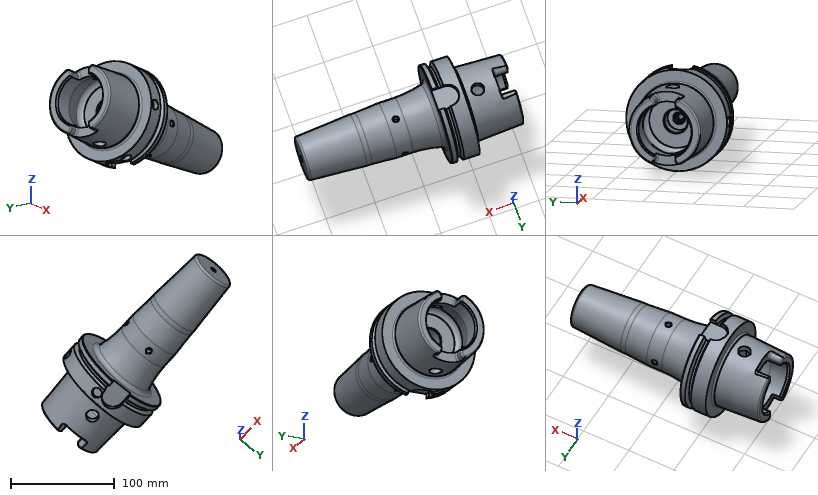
import cadquery as cq
import math

OVERALL_LENGTH = 215.0
TAPER_END_X = 47.3
RELIEF_END_X = 48.4
FLANGE_FRONT_X = 50.0
FLANGE_BACK_X = 78.5
NECK_END_X = 111.0
COLLAR_END_X = 127.7
BAND_START_X = 152.2
BAND_END_X = 157.4

TAPER_FRONT_RADIUS = 35.3
TAPER_BACK_RADIUS = 37.6
RELIEF_RADIUS = 37.5
FLANGE_RADIUS = 49.99
COLLAR_RADIUS = 28.0
BAND_RADIUS = 26.2
NOSE_RADIUS = 22.1

FRONT_EDGE_FILLET = 1.7
RELIEF_FILLET = FLANGE_FRONT_X - RELIEF_END_X
FLANGE_BACK_CHAMFER = 0.6
NECK_CURVE_RADIUS = 104.7
NECK_ROOT_FILLET = 5.4
NOSE_FILLET = 2.4

GROOVE_START_X = 66.2
GROOVE_FLOOR_START_X = 68.4
GROOVE_FLOOR_END_X = 71.0
GROOVE_END_X = 72.9
GROOVE_FLOOR_RADIUS = 45.5

MOUTH_RADIUS = 26.2
MOUTH_CHAMFER = 1.3
MOUTH_CHAMFER_LENGTH = 2.2
MOUTH_END_X = 20.5
POCKET_RADIUS = 31.4
POCKET_FLOOR_X = 47.3
POCKET_FLOOR_RADIUS = 25.0
TUBE_BORE_RADIUS = 11.5
TUBE_BORE_CHAMFER = 0.9
TUBE_BORE_END_X = 61.3
SCREW_RADIUS = 5.2
SCREW_BORE_CHAMFER = 0.9
SCREW_START_X = 68.8
SCREW_LENGTH = 17.2
COOLANT_RADIUS = 2.9
COOLANT_CHAMFER = 0.6

NOTCH_HALF_WIDTH = 10.0
NOTCH_STEP_HEIGHT = 32.0
NOTCH_CORNER_RADIUS = 4.5
NOTCH_FLOOR_FILLET = 1.7
UPPER_NOTCH_DEPTH = 15.0
LOWER_NOTCH_DEPTH = 9.9

CROSS_HOLE_X = 34.8
CROSS_HOLE_RADIUS = 6.2
SLOT_START_X = 54.6
SLOT_HALF_WIDTH = 11.0
SLOT_FLOOR_HEIGHT = 44.0
FLANGE_HOLE_RADIUS = 5.0
FLANGE_HOLE_DEPTH = 5.0
CHIP_HOLE_X = 57.0
BALANCE_HOLE_X = 59.0
BALANCE_HOLE_ANGLE = 72.5
SCREW_HOLE_X = 118.7
SCREW_HOLE_RADIUS = 2.5
SCREW_HOLE_CHAMFER = 0.6
SCREW_HOLE_DEPTH = 9.9
DRILL_POINT_ANGLE = 118.0
SCREW_HOLE_COUNT = 4

QUARTER_ARC = math.sqrt(0.5)


def revolve_about_axis(profile):
    """Turn a closed (x, radius) profile about the X axis."""
    return profile.close().revolve(360, (0, 0, 0), (1, 0, 0))


def neck_radius(x):
    """Radius of the concave neck, which meets the collar tangentially."""
    run = NECK_END_X - x
    return COLLAR_RADIUS + NECK_CURVE_RADIUS - math.sqrt(NECK_CURVE_RADIUS**2 - run**2)


def outer_body():
    """Turned outside of the holder, solid and with a sharp front edge."""
    fillet_center_radius = RELIEF_RADIUS + RELIEF_FILLET
    fillet_middle = (
        RELIEF_END_X + RELIEF_FILLET * QUARTER_ARC,
        fillet_center_radius - RELIEF_FILLET * QUARTER_ARC,
    )
    neck_middle_x = (FLANGE_BACK_X + NECK_END_X) / 2
    profile = (
        cq.Workplane("XZ")
        .moveTo(0, 0)
        .lineTo(0, TAPER_FRONT_RADIUS)
        .lineTo(TAPER_END_X, TAPER_BACK_RADIUS)
        .lineTo(TAPER_END_X, RELIEF_RADIUS)
        .lineTo(RELIEF_END_X, RELIEF_RADIUS)
        .threePointArc(fillet_middle, (FLANGE_FRONT_X, fillet_center_radius))
        .lineTo(FLANGE_FRONT_X, FLANGE_RADIUS)
        .lineTo(GROOVE_START_X, FLANGE_RADIUS)
        .lineTo(GROOVE_FLOOR_START_X, GROOVE_FLOOR_RADIUS)
        .lineTo(GROOVE_FLOOR_END_X, GROOVE_FLOOR_RADIUS)
        .lineTo(GROOVE_END_X, FLANGE_RADIUS)
        .lineTo(FLANGE_BACK_X - FLANGE_BACK_CHAMFER, FLANGE_RADIUS)
        .lineTo(FLANGE_BACK_X, FLANGE_RADIUS - FLANGE_BACK_CHAMFER)
        .lineTo(FLANGE_BACK_X, neck_radius(FLANGE_BACK_X))
        .threePointArc((neck_middle_x, neck_radius(neck_middle_x)), (NECK_END_X, COLLAR_RADIUS))
        .lineTo(COLLAR_END_X, COLLAR_RADIUS)
        .lineTo(BAND_START_X, BAND_RADIUS)
        .lineTo(BAND_END_X, BAND_RADIUS)
        .lineTo(OVERALL_LENGTH, NOSE_RADIUS)
        .lineTo(OVERALL_LENGTH, 0)
    )
    body = revolve_about_axis(profile)
    body = body.faces(">X").edges().fillet(NOSE_FILLET)
    reach = neck_radius(FLANGE_BACK_X) + NECK_ROOT_FILLET / 2
    root_region = cq.selectors.BoxSelector(
        (FLANGE_BACK_X - 0.2, -reach, -reach),
        (FLANGE_BACK_X + 0.2, reach, reach),
        boundingbox=True,
    )
    return body.edges(root_region).fillet(NECK_ROOT_FILLET)


def front_bore():
    """Plain bore through the drive end that opens the rim for the notches."""
    return cq.Workplane("YZ").circle(MOUTH_RADIUS).extrude(POCKET_FLOOR_X)


def clamping_pocket():
    """Undercut pocket with a rounded floor, opening at the drive end."""
    floor_fillet = POCKET_RADIUS - POCKET_FLOOR_RADIUS
    fillet_middle = (
        POCKET_FLOOR_X - floor_fillet * (1 - QUARTER_ARC),
        POCKET_FLOOR_RADIUS + floor_fillet * QUARTER_ARC,
    )
    profile = (
        cq.Workplane("XZ")
        .moveTo(0, 0)
        .lineTo(0, MOUTH_RADIUS + MOUTH_CHAMFER)
        .lineTo(MOUTH_CHAMFER_LENGTH, MOUTH_RADIUS)
        .lineTo(MOUTH_END_X, MOUTH_RADIUS)
        .lineTo(POCKET_FLOOR_X - floor_fillet, POCKET_RADIUS)
        .threePointArc(fillet_middle, (POCKET_FLOOR_X, POCKET_FLOOR_RADIUS))
        .lineTo(POCKET_FLOOR_X, 0)
    )
    return revolve_about_axis(profile)


def axial_bores():
    """Coolant tube bore, stop screw bore and coolant passage in line."""
    screw_end_x = SCREW_START_X + SCREW_LENGTH
    profile = (
        cq.Workplane("XZ")
        .moveTo(POCKET_FLOOR_X, 0)
        .lineTo(POCKET_FLOOR_X, TUBE_BORE_RADIUS + TUBE_BORE_CHAMFER)
        .lineTo(POCKET_FLOOR_X + TUBE_BORE_CHAMFER, TUBE_BORE_RADIUS)
        .lineTo(TUBE_BORE_END_X, TUBE_BORE_RADIUS)
        .lineTo(TUBE_BORE_END_X, SCREW_RADIUS + SCREW_BORE_CHAMFER)
        .lineTo(TUBE_BORE_END_X + SCREW_BORE_CHAMFER, SCREW_RADIUS)
        .lineTo(screw_end_x, SCREW_RADIUS)
        .lineTo(screw_end_x, COOLANT_RADIUS)
        .lineTo(OVERALL_LENGTH, COOLANT_RADIUS)
        .lineTo(OVERALL_LENGTH, 0)
    )
    return revolve_about_axis(profile)


def drive_notch(depth):
    """Notch through the upper rim wall that widens outward round two convex shoulders."""
    shoulder_y = NOTCH_HALF_WIDTH + NOTCH_CORNER_RADIUS
    step_base = NOTCH_STEP_HEIGHT - NOTCH_CORNER_RADIUS
    arc_y = shoulder_y - NOTCH_CORNER_RADIUS * QUARTER_ARC
    arc_z = step_base + NOTCH_CORNER_RADIUS * QUARTER_ARC
    clear = FLANGE_RADIUS
    return (
        cq.Workplane("YZ")
        .moveTo(-NOTCH_HALF_WIDTH, 0)
        .lineTo(NOTCH_HALF_WIDTH, 0)
        .lineTo(NOTCH_HALF_WIDTH, step_base)
        .threePointArc((arc_y, arc_z), (shoulder_y, NOTCH_STEP_HEIGHT))
        .lineTo(clear, NOTCH_STEP_HEIGHT)
        .lineTo(clear, clear)
        .lineTo(-clear, clear)
        .lineTo(-clear, NOTCH_STEP_HEIGHT)
        .lineTo(-shoulder_y, NOTCH_STEP_HEIGHT)
        .threePointArc((-arc_y, arc_z), (-NOTCH_HALF_WIDTH, step_base))
        .close()
        .extrude(depth)
        .faces(">X")
        .edges()
        .fillet(NOTCH_FLOOR_FILLET)
    )


def round_notch_mouths(body):
    """Round the notch edges of the rim faces, which are all but the two large circles."""
    rim_edges = body.faces("<X").edges()
    notch_edges = rim_edges.filter(
        lambda edge: edge.geomType() == "LINE" or edge.radius() < MOUTH_RADIUS / 2
    )
    return notch_edges.fillet(FRONT_EDGE_FILLET)


def cross_hole():
    """Radial hole straight through both walls of the taper."""
    return (
        cq.Workplane("XY")
        .center(CROSS_HOLE_X, 0)
        .circle(CROSS_HOLE_RADIUS)
        .extrude(FLANGE_RADIUS, both=True)
    )


def flange_slot():
    """Flat-bottomed slot with a round front end, open at the back of the flange."""
    center_x = SLOT_START_X + SLOT_HALF_WIDTH
    return (
        cq.Workplane("XY", origin=(0, 0, SLOT_FLOOR_HEIGHT))
        .moveTo(FLANGE_BACK_X, -SLOT_HALF_WIDTH)
        .lineTo(center_x, -SLOT_HALF_WIDTH)
        .threePointArc((SLOT_START_X, 0), (center_x, SLOT_HALF_WIDTH))
        .lineTo(FLANGE_BACK_X, SLOT_HALF_WIDTH)
        .close()
        .extrude(FLANGE_RADIUS)
    )


def flange_hole(x):
    """Flat-bottomed radial hole on the -Y side of the flange rim."""
    return (
        cq.Workplane("XZ", origin=(x, FLANGE_HOLE_DEPTH - FLANGE_RADIUS, 0))
        .circle(FLANGE_HOLE_RADIUS)
        .extrude(FLANGE_RADIUS)
    )


def balancing_screw_hole():
    """Radial blind hole at the top of the collar with a chamfered mouth and a drill point."""
    bottom = COLLAR_RADIUS - SCREW_HOLE_DEPTH
    point_length = SCREW_HOLE_RADIUS / math.tan(math.radians(DRILL_POINT_ANGLE / 2))
    mouth_radius = SCREW_HOLE_RADIUS + SCREW_HOLE_CHAMFER
    return (
        cq.Workplane("XZ", origin=(SCREW_HOLE_X, 0, 0))
        .moveTo(0, bottom - point_length)
        .lineTo(SCREW_HOLE_RADIUS, bottom)
        .lineTo(SCREW_HOLE_RADIUS, COLLAR_RADIUS - SCREW_HOLE_CHAMFER)
        .lineTo(mouth_radius, COLLAR_RADIUS)
        .lineTo(mouth_radius, FLANGE_RADIUS)
        .lineTo(0, FLANGE_RADIUS)
        .close()
        .revolve(360, (0, 0, 0), (0, 1, 0))
    )


def around_axis(tool, angle):
    """Turn a cutting tool about the holder axis."""
    return tool.rotate((0, 0, 0), (1, 0, 0), angle)


def build_holder():
    envelope = outer_body()
    holder = envelope.cut(front_bore())
    holder = holder.cut(drive_notch(UPPER_NOTCH_DEPTH))
    holder = holder.cut(around_axis(drive_notch(LOWER_NOTCH_DEPTH), 180))
    holder = round_notch_mouths(holder)
    holder = holder.intersect(envelope.faces("<X").edges().fillet(FRONT_EDGE_FILLET))
    holder = holder.cut(clamping_pocket())
    holder = holder.cut(axial_bores())
    holder = holder.cut(cross_hole())
    for angle in (0, 180):
        holder = holder.cut(around_axis(flange_slot(), angle))
    holder = holder.cut(flange_hole(CHIP_HOLE_X))
    holder = holder.cut(around_axis(flange_hole(BALANCE_HOLE_X), BALANCE_HOLE_ANGLE))
    for index in range(SCREW_HOLE_COUNT):
        holder = holder.cut(around_axis(balancing_screw_hole(), index * 360 / SCREW_HOLE_COUNT))
    return holder


def build_stop_screw():
    """Hollow screw that fills its bore behind the coolant tube bore."""
    screw = (
        cq.Workplane("YZ", origin=(SCREW_START_X, 0, 0))
        .circle(SCREW_RADIUS)
        .circle(COOLANT_RADIUS)
        .extrude(SCREW_LENGTH)
    )
    mouth = cq.selectors.RadiusNthSelector(0)
    return screw.faces("<X").edges(mouth).chamfer(COOLANT_CHAMFER)


holder = build_holder()
stop_screw = build_stop_screw()

result = cq.Compound.makeCompound([holder.val(), stop_screw.val()])